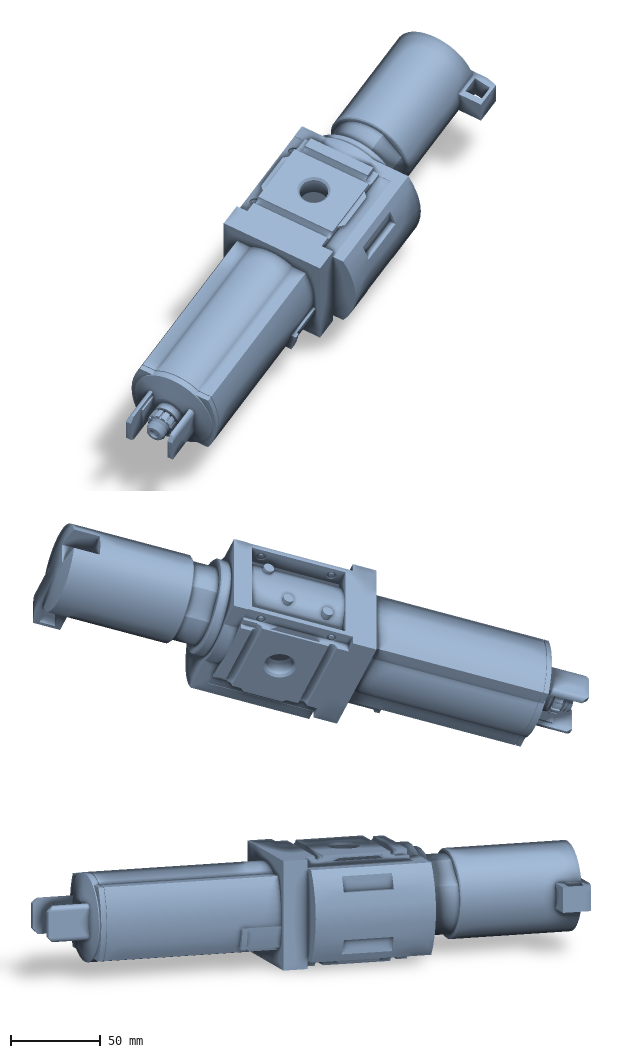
import cadquery as cq
import math


KNOB_TOP = 134.0
KNOB_RIM = 131.5
KNOB_BOTTOM = 60.2
FLANGE_TOP = 45.0
HOUSING_TOP = 38.7
PANEL_TOP = 30.5
FOOT_TOP = -31.8
HOUSING_BOTTOM = -46.0
BOWL_SIDE_END = -151.3
BOWL_RIM = -152.0
BOWL_BOTTOM = -155.7
TAB_END = KNOB_TOP - 312

KNOB_DIAMETER = 51.0
KNOB_CHAMFER = 0.5
SLOT_WIDTH = 14.5
SLOT_LENGTH = 15.3
SLOT_FLOOR_X = -11.0
LOOP_REACH = 39.0
LOOP_BOTTOM = 115.8
LOOP_OUTER_TOP = 132.0
LOOP_SHOULDER_X = 32.0
LOOP_HEIGHT = 14.5
WINDOW_LEFT = 26.5
WINDOW_RIGHT = 37.0
WINDOW_BOTTOM = 119.5
WINDOW_LEFT_TOP = 130.0
WINDOW_RIGHT_TOP = 128.5

HOUSING_HEIGHT = 62.0
BULGE_DIAMETER = 61.0
HOUSING_LEFT = -31.0
HOUSING_RIGHT = 31.5
HEAD_HALF_HEIGHT = 26.2
LEDGE_HALF_HEIGHT = 26.0
NECK_DIAMETER = 45.2
NECK_FLAT_DISTANCE = 21.0
FLANGE_DIAMETER = 55.0
FLANGE_CHAMFER = 0.5
COVER_SHOULDER_X = 38.0
COVER_REACH = 46.2
GRIP_LENGTH = 29.3
GRIP_WALL_X = 40.5
GRIP_FLOOR_Z = 13.5
PANEL_HALF_WIDTH = 24.0
PANEL_CORNER_WIDTH = 3.7
PANEL_CORNER_LENGTH = 8.5
PANEL_CORNER_DEPTH = 3.0
GROOVE_DEPTH = 2.5
GROOVE_WIDTH = 5.0
GROOVE_TOPS = (24.3, -20.0)
LIP_REACH = 3.0
LIP_LENGTH = 29.3
LIP_DROP = 1.2
LIP_DEPTH = 2.2
PORT_DIAMETER = 16.0
PORT_MOUTH_DIAMETER = 18.5
PORT_DEPTH = 12.0
POCKET_TOP = 28.0
POCKET_BOTTOM = -27.5
POCKET_HALF_HEIGHT = 23.0
POCKET_FLOOR_X = -20.5
BARREL_DIAMETER = 59.0
PIN_DIAMETER = 6.0
PIN_FACE_X = -30.5
PIN_PLACES = ((17.8, 11.2), (6.2, -8.5), (-17.2, -10.5))
CLIP_SEAT_DIAMETER = 5.5
CLIP_SEAT_DEPTH = 1.0
CLIP_CORE_DIAMETER = 2.8
CLIP_SEAT_X = -26.0
CLIP_SEAT_PLACES = (21.0, -21.0)

BOWL_DIAMETER = 50.2
BOWL_SIDE_REACH = 27.5
BOWL_SIDE_CORNER_X = 22.0
BOWL_SIDE_HALF_HEIGHT = 21.0
SEAM_Y = -148.5
SEAM_WIDTH = 0.5
SEAM_DEPTH = 0.47
BOWL_END_DIAMETER = 21.8
LATCH_THICKNESS = 1.5
LATCH_END = -66.0
LATCH_TOP_Z = -6.5
LATCH_BOTTOM_Z = -19.0
LATCH_LUG_END = -69.3
LATCH_LUG_THICKNESS = 2.8
TAB_OUTER_X = 15.0
TAB_THICKNESS = 3.0
TAB_HALF_HEIGHT = 10.3
TAB_FILLET = 2.8
TAB_TIP_CHAMFER = 3.0
TAB_RIB_THICKNESS = 1.0
TAB_RIB_HALF_HEIGHT = 7.2
TAB_RIB_END = -166.3
DRAIN_DIAMETER = 16.0
DRAIN_NECK_DIAMETER = 9.5
DRAIN_COLLAR_END = -159.8
KNURL_TOP = -161.3
KNURL_BOTTOM = -166.3
BARB_DIAMETER = 12.0
BARB_COUNT = 3
DRAIN_END = -173.0
DRAIN_BORE_DIAMETER = 6.0
DRAIN_BORE_DEPTH = 9.5
KNURL_NOTCHES = 12
KNURL_NOTCH_WIDTH = 1.2
KNURL_NOTCH_DEPTH = 1.2


def box(x_range, y_range, z_range):
    """Box between two limits along each axis."""
    spans = [high - low for low, high in (x_range, y_range, z_range)]
    corner = (x_range[0], y_range[0], z_range[0])
    return cq.Workplane("XY").box(*spans, centered=False).translate(corner)


def section(y_low):
    """Workplane across the part at y_low; its local axes are X and Z mirrored to (X, -Z)."""
    return cq.Workplane("XZ", origin=(0, y_low, 0)).transformed(rotate=(180, 0, 0))


def disc(diameter, y_low, y_high):
    """Cylinder around the main axis."""
    return section(y_low).circle(diameter / 2).extrude(y_high - y_low)


def mirrored_pair(shape, plane):
    """The shape together with its mirror image."""
    return shape.union(shape.mirror(plane))


def knob_grip():
    radius = KNOB_DIAMETER / 2
    rise = KNOB_TOP - KNOB_RIM
    dome_radius = (radius**2 + rise**2) / (2 * rise)
    mid_x = radius / 2
    mid_y = KNOB_TOP - dome_radius + math.sqrt(dome_radius**2 - mid_x**2)
    return (
        cq.Workplane("XY")
        .moveTo(0, KNOB_BOTTOM)
        .lineTo(radius - KNOB_CHAMFER, KNOB_BOTTOM)
        .lineTo(radius, KNOB_BOTTOM + KNOB_CHAMFER)
        .lineTo(radius, KNOB_RIM)
        .threePointArc((mid_x, mid_y), (0, KNOB_TOP))
        .close()
        .revolve(360, (0, 0, 0), (0, 1, 0))
    )


def lock_loop():
    plate = [
        (0, LOOP_BOTTOM),
        (LOOP_REACH, LOOP_BOTTOM),
        (LOOP_REACH, LOOP_OUTER_TOP),
        (LOOP_SHOULDER_X, KNOB_TOP),
        (0, KNOB_TOP),
    ]
    window = [
        (WINDOW_LEFT, WINDOW_BOTTOM),
        (WINDOW_RIGHT, WINDOW_BOTTOM),
        (WINDOW_RIGHT, WINDOW_RIGHT_TOP),
        (WINDOW_LEFT, WINDOW_LEFT_TOP),
    ]
    base = cq.Workplane("XY")
    solid = base.polyline(plate).close().extrude(LOOP_HEIGHT / 2, both=True)
    return solid.cut(base.polyline(window).close().extrude(LOOP_HEIGHT / 2, both=True))


def make_knob():
    half_slot = SLOT_WIDTH / 2
    slot = box(
        (-KNOB_DIAMETER, SLOT_FLOOR_X),
        (KNOB_RIM - SLOT_LENGTH, KNOB_TOP),
        (-half_slot, half_slot),
    )
    return knob_grip().cut(slot).union(lock_loop())


def housing_block():
    """Core with lowered ledges, head, full-height foot and the round bulge at the knob end."""
    half = HOUSING_HEIGHT / 2
    sides = (HOUSING_LEFT, HOUSING_RIGHT)
    core = box(sides, (FOOT_TOP, PANEL_TOP), (-LEDGE_HALF_HEIGHT, LEDGE_HALF_HEIGHT))
    head = box(sides, (PANEL_TOP, HOUSING_TOP), (-HEAD_HALF_HEIGHT, HEAD_HALF_HEIGHT))
    foot = box(sides, (HOUSING_BOTTOM, FOOT_TOP), (-half, half))
    bulge = disc(BULGE_DIAMETER, PANEL_TOP, HOUSING_TOP).intersect(
        box(sides, (PANEL_TOP, HOUSING_TOP), (-half, half))
    )
    return core.union(foot).union(head).union(bulge)


def neck():
    flange = disc(FLANGE_DIAMETER, HOUSING_TOP, FLANGE_TOP).edges("%CIRCLE").chamfer(FLANGE_CHAMFER)
    between_flats = box(
        (-NECK_DIAMETER, NECK_DIAMETER),
        (FLANGE_TOP, KNOB_BOTTOM),
        (-NECK_FLAT_DISTANCE, NECK_FLAT_DISTANCE),
    ).rotate((0, 0, 0), (0, 1, 0), 45)
    return flange.union(disc(NECK_DIAMETER, FLANGE_TOP, KNOB_BOTTOM).intersect(between_flats))


def side_cover():
    """Bulged cover on the +X side with a finger grip cut along each long edge."""
    length = HOUSING_TOP - FOOT_TOP
    cover = (
        section(FOOT_TOP)
        .moveTo(HOUSING_RIGHT, -HEAD_HALF_HEIGHT)
        .lineTo(COVER_SHOULDER_X, -HEAD_HALF_HEIGHT)
        .threePointArc((COVER_REACH, 0), (COVER_SHOULDER_X, HEAD_HALF_HEIGHT))
        .lineTo(HOUSING_RIGHT, HEAD_HALF_HEIGHT)
        .close()
        .extrude(length)
    )
    half_grip = GRIP_LENGTH / 2
    grip = box((GRIP_WALL_X, COVER_REACH), (-half_grip, half_grip), (GRIP_FLOOR_Z, HEAD_HALF_HEIGHT))
    return cover.cut(mirrored_pair(grip, "XY"))


def panel_lip():
    """Dovetail lip along the +X edge of the upper port panel, undercut below and tapered at its ends."""
    top = HOUSING_HEIGHT / 2 - LIP_DROP
    half = LIP_LENGTH / 2
    edge = PANEL_HALF_WIDTH
    wedge = (
        cq.Workplane("XZ", origin=(0, half, 0))
        .polyline([(edge, top), (edge + LIP_REACH, top), (edge, top - LIP_DEPTH)])
        .close()
        .extrude(LIP_LENGTH)
    )
    plan = (
        cq.Workplane("XY")
        .polyline([(edge, -half), (edge + LIP_REACH, LIP_REACH - half),
                   (edge + LIP_REACH, half - LIP_REACH), (edge, half)])
        .close()
        .extrude(top)
    )
    return wedge.intersect(plan)


def port_panel():
    """Raised panel on the +Z side with two rounded cross grooves, stepped corners and dovetail lips."""
    top = HOUSING_HEIGHT / 2
    width = PANEL_HALF_WIDTH
    panel = box((-width, width), (FOOT_TOP, PANEL_TOP), (LEDGE_HALF_HEIGHT, top))
    for groove_top in GROOVE_TOPS:
        groove_middle = groove_top - GROOVE_WIDTH / 2
        groove = (
            cq.Workplane("YZ", origin=(-width, 0, 0))
            .moveTo(groove_top, top)
            .threePointArc((groove_middle, top - GROOVE_DEPTH), (groove_top - GROOVE_WIDTH, top))
            .close()
            .extrude(2 * width)
        )
        panel = panel.cut(groove)
    corner = box(
        (width - PANEL_CORNER_WIDTH, width),
        (PANEL_TOP - PANEL_CORNER_LENGTH, PANEL_TOP),
        (top - PANEL_CORNER_DEPTH, top),
    )
    return panel.cut(mirrored_pair(corner, "YZ")).union(mirrored_pair(panel_lip(), "YZ"))


def port():
    top = HOUSING_HEIGHT / 2
    mouth_depth = (PORT_MOUTH_DIAMETER - PORT_DIAMETER) / 2
    bore = cq.Workplane("XY", origin=(0, 0, top)).circle(PORT_DIAMETER / 2).extrude(-PORT_DEPTH)
    mouth = (
        cq.Workplane("XY", origin=(0, 0, top))
        .circle(PORT_MOUTH_DIAMETER / 2)
        .workplane(offset=-mouth_depth)
        .circle(PORT_DIAMETER / 2)
        .loft()
    )
    return bore.union(mouth)


def side_pocket():
    """Pocket in the -X face that leaves a round barrel and three pins standing in it."""
    length = (POCKET_BOTTOM, POCKET_TOP)
    pocket = box(
        (HOUSING_LEFT, POCKET_FLOOR_X), length, (-POCKET_HALF_HEIGHT, POCKET_HALF_HEIGHT)
    ).cut(disc(BARREL_DIAMETER, *length))
    for pin_y, pin_z in PIN_PLACES:
        pin = (
            cq.Workplane("YZ", origin=(PIN_FACE_X, pin_y, pin_z))
            .circle(PIN_DIAMETER / 2)
            .extrude(POCKET_FLOOR_X - PIN_FACE_X)
        )
        pocket = pocket.cut(pin)
    return pocket


def clip_seats():
    """Ring-shaped seats sunk into both faces of the upper thin wall beside the pocket."""
    seats = cq.Workplane("XY")
    for face_z in (POCKET_HALF_HEIGHT, LEDGE_HALF_HEIGHT - CLIP_SEAT_DEPTH):
        for seat_y in CLIP_SEAT_PLACES:
            seat = (
                cq.Workplane("XY", origin=(CLIP_SEAT_X, seat_y, face_z))
                .circle(CLIP_SEAT_DIAMETER / 2)
                .circle(CLIP_CORE_DIAMETER / 2)
                .extrude(CLIP_SEAT_DEPTH)
            )
            seats = seats.add(seat)
    return seats.combine()


def make_housing():
    housing = housing_block().union(neck()).union(side_cover())
    housing = housing.union(mirrored_pair(port_panel(), "XY"))
    housing = housing.cut(mirrored_pair(port(), "XY"))
    return housing.cut(side_pocket()).cut(mirrored_pair(clip_seats(), "XY"))


def bowl_side_outline(y_low, offset=0):
    """Outline with flat top and bottom and bulged sides, moved outward by offset."""
    corner_x = BOWL_SIDE_CORNER_X + offset
    reach = BOWL_SIDE_REACH + offset
    height = BOWL_SIDE_HALF_HEIGHT + offset
    return (
        section(y_low)
        .moveTo(-corner_x, -height)
        .lineTo(corner_x, -height)
        .threePointArc((reach, 0), (corner_x, height))
        .lineTo(-corner_x, height)
        .threePointArc((-reach, 0), (-corner_x, -height))
        .close()
    )


def bowl_shell():
    sides = bowl_side_outline(BOWL_SIDE_END).extrude(HOUSING_BOTTOM - BOWL_SIDE_END)
    radius = BOWL_DIAMETER / 2
    end_radius = BOWL_END_DIAMETER / 2
    barrel = (
        cq.Workplane("XY")
        .polyline([(0, HOUSING_BOTTOM), (radius, HOUSING_BOTTOM), (radius, BOWL_RIM),
                   (end_radius, BOWL_BOTTOM), (0, BOWL_BOTTOM)])
        .close()
        .revolve(360, (0, 0, 0), (0, 1, 0))
    )
    seam_top = SEAM_Y + SEAM_WIDTH
    seam_core = bowl_side_outline(SEAM_Y, -SEAM_DEPTH).extrude(SEAM_WIDTH)
    seam_core = seam_core.union(disc(BOWL_DIAMETER - 2 * SEAM_DEPTH, SEAM_Y, seam_top))
    seam = disc(2 * BOWL_DIAMETER, SEAM_Y, seam_top).cut(seam_core)
    return sides.union(barrel).cut(seam)


def latch():
    """Thin slide on the +X side of the bowl, ending in a thicker lug."""
    slide = bowl_side_outline(LATCH_END, LATCH_THICKNESS).extrude(HOUSING_BOTTOM - LATCH_END)
    lug = bowl_side_outline(LATCH_LUG_END, LATCH_LUG_THICKNESS).extrude(LATCH_END - LATCH_LUG_END)
    zone = box(
        (0, HOUSING_RIGHT), (LATCH_LUG_END, HOUSING_BOTTOM), (LATCH_BOTTOM_Z, LATCH_TOP_Z)
    )
    return slide.union(lug).intersect(zone)


def drain_tab():
    """Guard tab on the +X side of the drain, thickened by a rib on its inner face."""
    inner_x = TAB_OUTER_X - TAB_THICKNESS
    root = BOWL_RIM
    tab = box((inner_x, TAB_OUTER_X), (TAB_END, root), (-TAB_HALF_HEIGHT, TAB_HALF_HEIGHT))
    tab = tab.edges("|Y and >X").fillet(TAB_FILLET)
    tip = (
        cq.Workplane("YZ", origin=(inner_x, 0, 0))
        .rect(2 * -TAB_END, 2 * TAB_HALF_HEIGHT)
        .extrude(TAB_THICKNESS)
        .edges("|X")
        .chamfer(TAB_TIP_CHAMFER)
    )
    rib = box(
        (inner_x - TAB_RIB_THICKNESS, inner_x),
        (TAB_RIB_END, root),
        (-TAB_RIB_HALF_HEIGHT, TAB_RIB_HALF_HEIGHT),
    )
    return tab.intersect(tip).union(rib)


def drain():
    """Drain screw: collar, neck, knurled ring and bored hose barb."""
    knurl = disc(DRAIN_DIAMETER, KNURL_BOTTOM, KNURL_TOP)
    radius = DRAIN_DIAMETER / 2
    half_notch = KNURL_NOTCH_WIDTH / 2
    notch = box(
        (radius - KNURL_NOTCH_DEPTH, radius), (KNURL_BOTTOM, KNURL_TOP), (-half_notch, half_notch)
    )
    for index in range(KNURL_NOTCHES):
        knurl = knurl.cut(notch.rotate((0, 0, 0), (0, 1, 0), index * 360 / KNURL_NOTCHES))
    stem = disc(DRAIN_DIAMETER, DRAIN_COLLAR_END, BOWL_BOTTOM)
    stem = stem.union(disc(DRAIN_NECK_DIAMETER, DRAIN_END, DRAIN_COLLAR_END)).union(knurl)
    barb_length = (KNURL_BOTTOM - DRAIN_END) / BARB_COUNT
    for index in range(BARB_COUNT):
        barb_tip = DRAIN_END + index * barb_length
        barb = (
            section(barb_tip)
            .circle(DRAIN_NECK_DIAMETER / 2)
            .workplane(offset=barb_length)
            .circle(BARB_DIAMETER / 2)
            .loft()
        )
        stem = stem.union(barb)
    return stem.cut(disc(DRAIN_BORE_DIAMETER, DRAIN_END, DRAIN_END + DRAIN_BORE_DEPTH))


def make_bowl():
    return bowl_shell().union(latch()).union(mirrored_pair(drain_tab(), "YZ")).union(drain())


knob = make_knob()
housing = make_housing()
bowl = make_bowl()

result = cq.Compound.makeCompound([body.solids().val() for body in (knob, housing, bowl)])